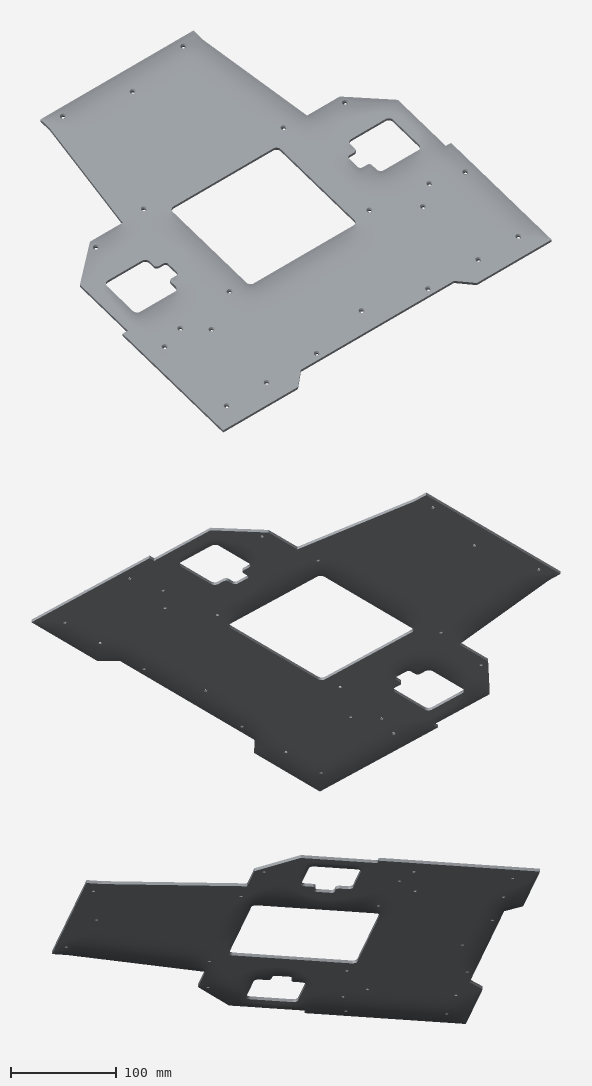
import cadquery as cq

length = 417.0
width = 393.5
thickness = 3.0

taper_start_x = 15.0
shoulder_x = 151.0
shoulder_bevel_end_x = 188.0
step_x = 262.0
right_waist_x = 401.5

end_half_width = 91.7
taper_end_y = 110.5
shoulder_bevel_start_y = 149.7
shoulder_half_width = 190.5
half_width = width / 2
waist_bevel = length - right_waist_x

window_left = 164.5
window_length = 123.5
window_width = 129.3
window_radius = 5.0

side_window_left = 200.0
side_window_length = 50.0
side_window_inner_y = 120.5
side_window_outer_y = 171.5
side_window_radius = 5.0
tab_length = 19.5
tab_end_y = 108.5
tab_radius = 3.5

hole_diameter = 3.5
countersink_diameter = 6.3
countersink_angle = 90
rear_hole_x = 394.5
middle_hole_x = 299.5
end_holes = [(26.0, -1.0), (378.0, 0)]
outer_middle_holes = [(middle_hole_x, 185.0), (middle_hole_x, -175.0)]
mirrored_holes = [
    (10.0, 72.0),
    (149.7, 84.0),
    (282.0, 84.0),
    (160.0, 149.5),
    (290.3, 149.5),
    (309.5, 126.8),
    (rear_hole_x, 174.7),
    (rear_hole_x, 126.8),
    (rear_hole_x, 66.7),
]


def both_sides(points):
    """Points together with their mirror images across the symmetry line."""
    return points + [(x, -y) for x, y in points]


def make_plate():
    upper_edge = [
        (0, end_half_width),
        (taper_start_x, end_half_width),
        (shoulder_x, taper_end_y),
        (shoulder_x, shoulder_bevel_start_y),
        (shoulder_bevel_end_x, shoulder_half_width),
        (step_x, shoulder_half_width),
        (step_x, half_width),
        (length, half_width),
        (length, end_half_width + waist_bevel),
        (right_waist_x, end_half_width),
    ]
    lower_edge = [(x, -y) for x, y in reversed(upper_edge)]
    return cq.Workplane("XY").polyline(upper_edge + lower_edge).close().extrude(thickness)


def block(left, block_length, low_y, high_y):
    """Plate-thick rectangular block."""
    return cq.Workplane("XY").box(
        block_length, high_y - low_y, thickness, centered=False
    ).translate((left, low_y, 0))


def make_central_window():
    window = block(window_left, window_length, -window_width / 2, window_width / 2)
    return window.edges("|Z").fillet(window_radius)


def make_side_window():
    opening = block(side_window_left, side_window_length, side_window_inner_y, side_window_outer_y)
    opening = opening.edges("|Z").fillet(side_window_radius)
    tab_left = side_window_left + (side_window_length - tab_length) / 2
    tab = block(tab_left, tab_length, tab_end_y, side_window_outer_y - side_window_radius)
    tab = tab.edges("|Z and <Y").fillet(tab_radius)
    window = opening.union(tab)
    tab_roots = cq.selectors.BoxSelector(
        (tab_left - tab_radius, side_window_inner_y - tab_radius, 0),
        (tab_left + tab_length + tab_radius, side_window_inner_y + tab_radius, thickness),
    )
    return window.edges("|Z").edges(tab_roots).fillet(tab_radius)


side_window = make_side_window()

result = (
    make_plate()
    .cut(make_central_window())
    .cut(side_window)
    .cut(side_window.mirror("XZ"))
    .faces(">Z")
    .workplane(origin=(0, 0, thickness))
    .pushPoints(end_holes + outer_middle_holes + both_sides(mirrored_holes))
    .cskHole(hole_diameter, countersink_diameter, countersink_angle)
)